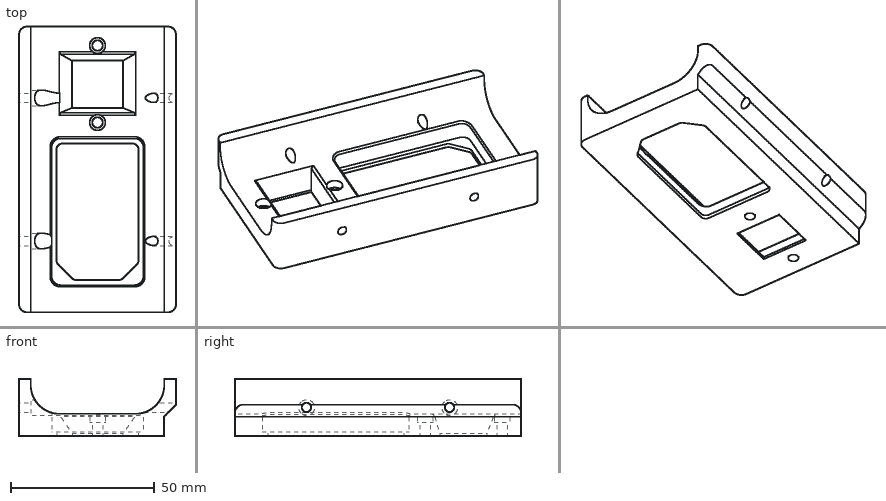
import cadquery as cq

width = 55.0
length = 100.0
height = 20.0
corner_radius = 3.0
wall = 4.2
floor_z = 7.8
trough_radius = 10.0
trough_half = width / 2 - wall
notch_z = 6.8

window_width = 17.8
window_back = 38.0
window_front = 21.5
window_top_width = 2 * (trough_half - trough_radius)
window_bevel_width = 26.0
window_top_back = 40.3
window_top_front = 19.8
window_lip = 1.0
window_chamfer = 0.9

pocket_width = 32.0
pocket_back = 10.8
pocket_front = -40.4
pocket_radius = 3.0
pocket_chamfer = 0.6
ledge_z = 1.5
opening_width = 28.6
opening_back = 9.0
opening_front = -38.6
opening_chamfer = 6.0
opening_radius = 2.0

floor_hole_diameter = 3.6
head_diameter = 5.5
head_depth = 3.0
floor_hole_ys = (16.4, 43.3)
side_hole_diameter = 3.2
side_hole_z = height / 2
side_hole_ys = (-25.0, 25.0)


def rectangle(size_x, front, back, z):
    """Rectangle centred in X between two Y positions, at height z."""
    return (
        cq.Workplane("XY", origin=(0, (front + back) / 2, z))
        .rect(size_x, back - front)
    )


def cylinder_x(diameter, y, start_x, end_x):
    """Cylinder along X at the side hole height."""
    return (
        cq.Workplane("YZ", origin=(start_x, y, side_hole_z))
        .circle(diameter / 2)
        .extrude(end_x - start_x)
    )


def make_body():
    block = cq.Workplane("XY").box(width, length, height, centered=(True, True, False))
    block = block.edges("|Z").fillet(corner_radius)
    trough = (
        cq.Workplane("XY", origin=(0, 0, floor_z))
        .box(2 * trough_half, length, height, centered=(True, True, False))
        .edges("|Y and <Z")
        .fillet(trough_radius)
    )
    notch = (
        cq.Workplane("XZ")
        .moveTo(trough_half, 0)
        .lineTo(width / 2, 0)
        .lineTo(width / 2, notch_z + wall)
        .lineTo(trough_half, notch_z)
        .close()
        .extrude(length / 2, both=True)
    )
    return block.cut(trough).cut(notch)


def loft_between(lower, upper):
    """Ruled solid between two (size_x, front, back, z) rectangles."""
    lower_wire = rectangle(*lower).val()
    upper_wire = rectangle(*upper).val()
    return cq.Workplane(cq.Solid.makeLoft([lower_wire, upper_wire], True))


def make_window():
    bevel_z = floor_z - window_chamfer
    lip_section = (window_width, window_front, window_back, window_lip)
    bevel_section = (window_bevel_width, window_top_front, window_top_back, bevel_z)
    floor_section = (
        window_top_width,
        window_top_front - window_chamfer,
        window_top_back + window_chamfer,
        floor_z,
    )
    lip = rectangle(window_width, window_front, window_back, 0).extrude(window_lip)
    taper = loft_between(lip_section, bevel_section)
    bevel = loft_between(bevel_section, floor_section)
    return lip.union(taper).union(bevel)


def make_pocket():
    return (
        rectangle(pocket_width, pocket_front, pocket_back, ledge_z)
        .extrude(height)
        .edges("|Z")
        .fillet(pocket_radius)
    )


def make_opening():
    return (
        rectangle(opening_width, opening_front, opening_back, 0)
        .extrude(height)
        .edges("|Z and <Y")
        .chamfer(opening_chamfer)
        .edges("|Z")
        .fillet(opening_radius)
    )


def make_floor_holes():
    centres = [(0, y) for y in floor_hole_ys]
    shafts = cq.Workplane("XY").pushPoints(centres).circle(floor_hole_diameter / 2).extrude(height)
    heads = (
        cq.Workplane("XY", origin=(0, 0, floor_z - head_depth))
        .pushPoints(centres)
        .circle(head_diameter / 2)
        .extrude(height)
    )
    return shafts.union(heads)


def chamfer_pocket_rim(body):
    """Bevel the loop of edges where the pocket walls meet the floor and trough."""
    wall_point = (pocket_width / 2, (pocket_front + pocket_back) / 2, floor_z)
    rim_edges = body.edges(cq.selectors.NearestToPointSelector(wall_point))
    return rim_edges.chamfer(pocket_chamfer)


def make_side_holes():
    """Screw holes through both walls, with head recesses inside the -X wall."""
    holes = cq.Workplane("XY")
    for y in side_hole_ys:
        holes = holes.union(cylinder_x(side_hole_diameter, y, -width / 2, width / 2))
        holes = holes.union(cylinder_x(head_diameter, y, -trough_half, 0))
    return holes


result = chamfer_pocket_rim(make_body().cut(make_pocket()))
for cutter in (make_opening(), make_window(), make_floor_holes(), make_side_holes()):
    result = result.cut(cutter)